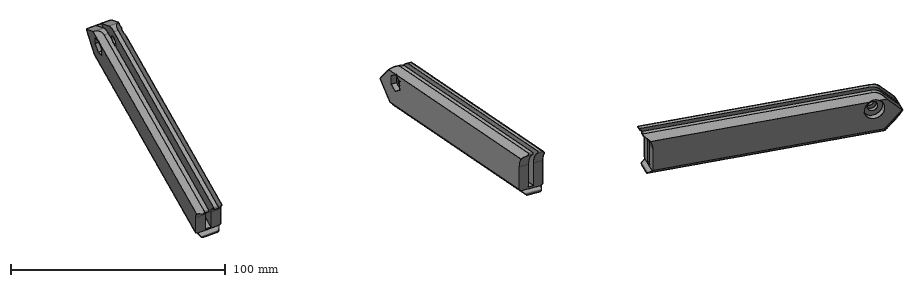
import cadquery as cq
import math

length = 127.02
width = 13.0
height = 22.24
edge_chamfer = 3.0

slope_angle = math.radians(45)
tip_height = 11.1
lower_slope_foot = 8.1
nose_arc_height = 4.6
shoulder_radius = 7.5

hook_radius = 7.5
hook_tip_radius = 0.55
hook_center_height = height - hook_radius
lower_lip_end = 125.2
lower_lip_root_height = 2.1
lower_lip_end_height = 1.0
lower_lip_rounding = 0.4

hook_tip_center_x = length - hook_tip_radius
hook_center_x = hook_tip_center_x + 2 * math.sqrt(hook_radius * hook_tip_radius)
rear_wall = hook_center_x - hook_radius

slot_width = 2.7
slot_entry_height = 12.0
slot_level_height = 3.1

hole_x = 14.2
hole_diameter = 5.0
hex_across_flats = 7.5
recess_depth = 3.0
counterbore_diameter = 10.0
hex_corner_radius = hex_across_flats / math.sqrt(3)
hole_z = hook_center_height

half_width = width / 2


def chamfered_bar():
    """Full-length bar with all four long edges chamfered."""
    return (
        cq.Workplane("YZ")
        .rect(width, height)
        .extrude(length)
        .edges("|X")
        .chamfer(edge_chamfer)
        .translate((0, 0, height / 2))
    )


def side_profile():
    """Side outline in XZ, extruded over the full width."""
    shoulder_corner = height - tip_height
    shoulder_tangent = shoulder_radius * math.tan(slope_angle / 2)
    shoulder_run = shoulder_tangent * math.cos(slope_angle)
    shoulder_start = (shoulder_corner - shoulder_run, height - shoulder_run)
    shoulder_end = (shoulder_corner + shoulder_tangent, height)

    tip_center_z = height - hook_tip_radius
    tip_share = hook_tip_radius / (hook_radius + hook_tip_radius)
    hook_start = (
        hook_tip_center_x + tip_share * (hook_center_x - hook_tip_center_x),
        tip_center_z + tip_share * (hook_center_height - tip_center_z),
    )

    outline = (
        cq.Workplane("XZ", origin=(0, half_width, 0))
        .moveTo(lower_lip_end, 0)
        .lineTo(lower_slope_foot, 0)
        .lineTo(lower_slope_foot - nose_arc_height, nose_arc_height)
        .tangentArcPoint((0, tip_height), relative=False)
        .lineTo(*shoulder_start)
        .tangentArcPoint(shoulder_end, relative=False)
        .lineTo(hook_tip_center_x, height)
        .threePointArc((length, tip_center_z), hook_start)
        .radiusArc((rear_wall, hook_center_height), -hook_radius)
        .lineTo(rear_wall, lower_lip_root_height)
        .lineTo(lower_lip_end, lower_lip_end_height)
        .close()
        .extrude(width)
    )
    lip_corners = cq.selectors.BoxSelector(
        (lower_lip_end - lower_lip_rounding, -width, -height),
        (lower_lip_end + lower_lip_rounding, width, lower_lip_end_height + lower_lip_rounding),
    )
    return outline.edges("|Y").edges(lip_corners).fillet(lower_lip_rounding)


def nose_bevel(side):
    """Wedge that chamfers the lower nose slope on one side (side = -1 or 1)."""
    slope_plane = cq.Plane(
        origin=(lower_slope_foot, side * half_width, 0),
        xDir=(0, -side, 0),
        normal=(-side, 0, side),
    )
    return (
        cq.Workplane(slope_plane)
        .moveTo(-edge_chamfer, -edge_chamfer)
        .lineTo(2 * edge_chamfer, -edge_chamfer)
        .lineTo(-edge_chamfer, 2 * edge_chamfer)
        .close()
        .extrude(height, both=True)
    )


def blade_slot():
    """Slot along the middle, open at the top and at both ends."""
    entry_x = slot_entry_height - tip_height
    level_start = entry_x + slot_entry_height - slot_level_height
    return (
        cq.Workplane("XZ", origin=(0, slot_width / 2, 0))
        .moveTo(0, slot_entry_height + entry_x)
        .lineTo(level_start, slot_level_height)
        .lineTo(length, slot_level_height)
        .lineTo(length, height)
        .lineTo(0, height)
        .close()
        .extrude(slot_width)
    )


def cross_hole():
    """Through hole with its hexagonal and round recesses."""
    hole = (
        cq.Workplane("XZ", origin=(hole_x, half_width, hole_z))
        .circle(hole_diameter / 2)
        .extrude(width)
    )
    counterbore = (
        cq.Workplane("XZ", origin=(hole_x, half_width, hole_z))
        .circle(counterbore_diameter / 2)
        .extrude(recess_depth)
    )
    hex_recess = (
        cq.Workplane("XZ", origin=(hole_x, recess_depth - half_width, hole_z))
        .transformed(rotate=(0, 0, 90))
        .polygon(6, 2 * hex_corner_radius)
        .extrude(recess_depth)
    )
    return hole.union(counterbore).union(hex_recess)


result = chamfered_bar().intersect(side_profile())
for side in (-1, 1):
    result = result.cut(nose_bevel(side))
result = result.cut(blade_slot()).cut(cross_hole())